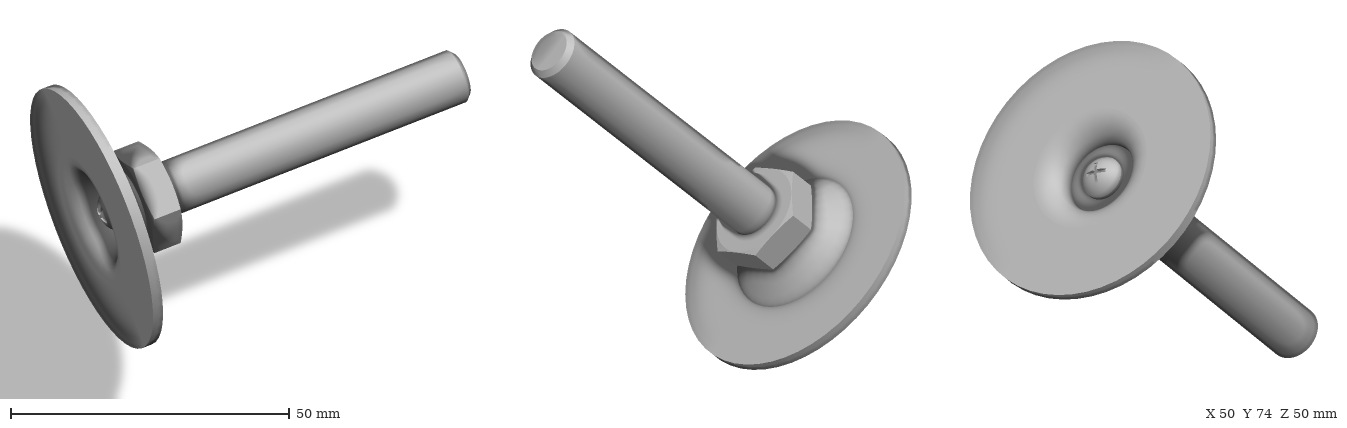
import cadquery as cq
import math


plate_diameter = 50.0
plate_thickness = 2.0
hub_base_radius = 13.2
hub_top_radius = 6.6
hub_shoulder_y = 7.4
neck_radius = 6.3

recess_floor_radius = 6.75
recess_mouth_rounding = 5.0

nut_start_y = 8.0
nut_height = 6.0
nut_across_flats = 17.2
nut_across_corners = nut_across_flats / math.cos(math.pi / 6)
nut_bevel_angle = math.radians(15)
nut_face_radius = 8.5

stud_diameter = 10.0
stud_end_y = 74.0
stud_chamfer = 1.0

pin_diameter = 8.0
dome_tip_y = 1.6
dome_height = 2.6
slot_length = 4.0
slot_width = 0.75
slot_depth = 0.8


def revolve_about_y(profile):
    """Turn a closed profile of (radius, Y) points about the Y axis."""
    return profile.close().revolve(360, (0, 0, 0), (0, 1, 0))


def make_foot():
    body = revolve_about_y(
        cq.Workplane("XY")
        .lineTo(plate_diameter / 2, 0)
        .lineTo(plate_diameter / 2, plate_thickness)
        .lineTo(hub_base_radius, plate_thickness)
        .lineTo(hub_top_radius, hub_shoulder_y)
        .lineTo(neck_radius, nut_start_y)
        .lineTo(0, nut_start_y)
    )
    mouth_radius = recess_floor_radius + recess_mouth_rounding
    arc_offset = recess_mouth_rounding * math.sqrt(0.5)
    recess = revolve_about_y(
        cq.Workplane("XY")
        .lineTo(mouth_radius, 0)
        .threePointArc(
            (mouth_radius - arc_offset, recess_mouth_rounding - arc_offset),
            (recess_floor_radius, recess_mouth_rounding),
        )
        .lineTo(0, recess_mouth_rounding)
    )
    return body.cut(recess)


def make_nut():
    """Hexagon with two corners on the Z axis and both faces bevelled."""
    nut_end_y = nut_start_y + nut_height
    corner_radius = nut_across_corners / 2
    bevel = (corner_radius - nut_face_radius) * math.tan(nut_bevel_angle)
    hexagon = (
        cq.Workplane("XZ", origin=(0, nut_start_y, 0))
        .transformed(rotate=(0, 0, 90))
        .polygon(6, nut_across_corners)
        .extrude(-nut_height)
    )
    bevel_envelope = revolve_about_y(
        cq.Workplane("XY")
        .moveTo(0, nut_start_y)
        .lineTo(nut_face_radius, nut_start_y)
        .lineTo(corner_radius, nut_start_y + bevel)
        .lineTo(corner_radius, nut_end_y - bevel)
        .lineTo(nut_face_radius, nut_end_y)
        .lineTo(0, nut_end_y)
    )
    return hexagon.intersect(bevel_envelope)


def make_stud():
    stud_radius = stud_diameter / 2
    return revolve_about_y(
        cq.Workplane("XY")
        .moveTo(0, nut_start_y)
        .lineTo(stud_radius, nut_start_y)
        .lineTo(stud_radius, stud_end_y - stud_chamfer)
        .lineTo(stud_radius - stud_chamfer, stud_end_y)
        .lineTo(0, stud_end_y)
    )


def make_pin():
    """Domed pin standing on the recess floor."""
    pin_radius = pin_diameter / 2
    sphere_radius = (pin_radius**2 + dome_height**2) / (2 * dome_height)
    half_angle = math.asin(pin_radius / sphere_radius) / 2
    dome_base_y = dome_tip_y + dome_height
    dome_middle = (
        sphere_radius * math.sin(half_angle),
        dome_tip_y + sphere_radius * (1 - math.cos(half_angle)),
    )
    return revolve_about_y(
        cq.Workplane("XY")
        .moveTo(0, dome_tip_y)
        .threePointArc(dome_middle, (pin_radius, dome_base_y))
        .lineTo(pin_radius, nut_start_y)
        .lineTo(0, nut_start_y)
    )


def make_cross_slot():
    slot_plane = cq.Workplane("XZ", origin=(0, dome_tip_y, 0))
    across = slot_plane.rect(slot_length, slot_width).extrude(-slot_depth)
    upright = slot_plane.rect(slot_width, slot_length).extrude(-slot_depth)
    return across.union(upright)


foot_with_pin = make_foot().union(make_pin()).cut(make_cross_slot())
result = foot_with_pin.union(make_nut()).union(make_stud())